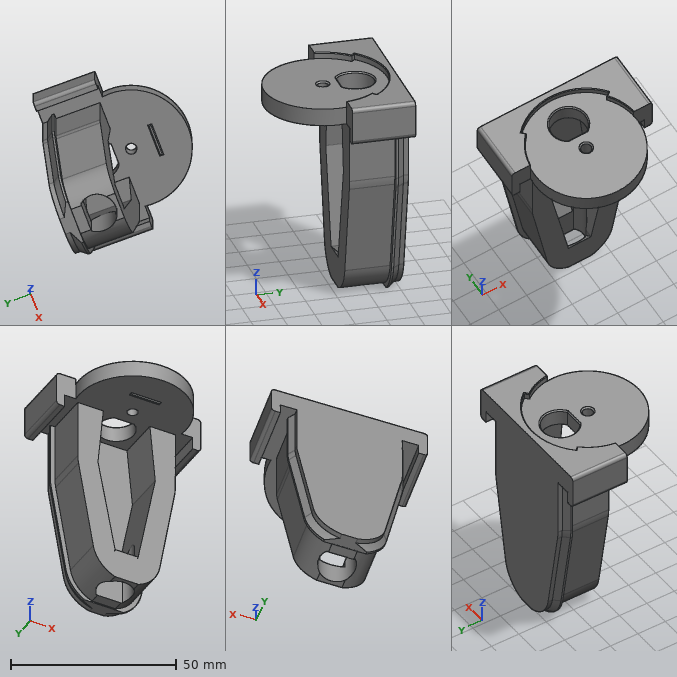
import cadquery as cq
import math


overall_depth = 40.8

block_width = 50.0
block_depth = 19.9
block_top = 69.0
block_underside = 61.5
leg_bottom = 57.3
leg_thickness = 2.8
leg_edge_radius = 1.2

disc_radius = 18.5
disc_center_y = disc_radius - overall_depth
disc_top = 67.0
disc_thickness = disc_top - block_underside
tab_radius = 20.15
tab_start_angle = 38.7
tab_end_angle = 136.0
recess_chamfer = 0.3

pin_hole_diameter = 3.4
key_hole_diameter = 12.0
key_hole_y = -12.15
key_hole_flat_y = -17.1
pin_hole_chamfer = 0.5
key_hole_chamfer = 0.4
hole_bevel_angle = 45
rib_length = 10.35
rib_width = 1.3
rib_height = 0.4
rib_chamfer = 0.35
rib_y = -30.2

shank_half_width = disc_radius
taper_angle = math.radians(9.9)
shoulder_radius = 17.45
tip_radius = 13.3
tip_center_z = 11.45
body_inset = 1.6
body_bottom = 0.45
body_front_y = -18.55
flange_back_thickness = 1.6
flange_bevel_thickness = 2.1
flange_rim_thickness = 0.7
flange_thickness = flange_back_thickness + flange_bevel_thickness + flange_rim_thickness

pocket_floor = 10.7
pocket_floor_half_width = 4.0
pocket_waist_z = 41.6
pocket_waist_half_width = 9.95
pocket_top_half_width = 8.1
back_ramp_top = 15.95
back_ramp_foot_y = -7.7

drain_radius = 5.85
drain_center_y = -11.45


def box(x_min, x_max, y_min, y_max, z_min, z_max):
    size = (x_max - x_min, y_max - y_min, z_max - z_min)
    return cq.Workplane("XY").box(*size, centered=False).translate((x_min, y_min, z_min))


def shank_outline(y, inset, bottom):
    """Closed shank outline in the plane at the given Y, moved inwards by inset and cut flat at bottom."""
    half_width = shank_half_width - inset
    shoulder_r = shoulder_radius - inset
    tip_r = tip_radius - inset
    shoulder_x = half_width - shoulder_r
    rise = (shoulder_x * math.cos(taper_angle) + shoulder_r - tip_r) / math.sin(taper_angle)
    shoulder_z = tip_center_z + rise

    def on_shoulder(angle):
        return (shoulder_x + shoulder_r * math.cos(angle), shoulder_z - shoulder_r * math.sin(angle))

    def on_tip(angle):
        return (tip_r * math.cos(angle), tip_center_z - tip_r * math.sin(angle))

    def mirrored(point):
        return (-point[0], point[1])

    end_angle = math.asin((tip_center_z - bottom) / tip_r)
    shoulder_mid = on_shoulder(taper_angle / 2)
    tip_mid = on_tip((taper_angle + end_angle) / 2)
    return (
        cq.Workplane("XZ", origin=(0, y, 0))
        .moveTo(half_width, block_underside)
        .lineTo(*on_shoulder(0))
        .threePointArc(shoulder_mid, on_shoulder(taper_angle))
        .lineTo(*on_tip(taper_angle))
        .threePointArc(tip_mid, on_tip(end_angle))
        .lineTo(*mirrored(on_tip(end_angle)))
        .threePointArc(mirrored(tip_mid), mirrored(on_tip(taper_angle)))
        .lineTo(*mirrored(on_shoulder(taper_angle)))
        .threePointArc(mirrored(shoulder_mid), mirrored(on_shoulder(0)))
        .lineTo(-half_width, block_underside)
        .close()
    )


def make_shank():
    """Body and back flange; the flange widens from its back face to its rim by a bevel."""
    bevel_back_y = -flange_back_thickness
    bevel_front_y = bevel_back_y - flange_bevel_thickness
    body_back_y = -flange_thickness
    back = shank_outline(0, body_inset, 0).extrude(flange_back_thickness)
    bevel_wires = [
        shank_outline(bevel_back_y, body_inset, 0).val(),
        shank_outline(bevel_front_y, 0, 0).val(),
    ]
    bevel = cq.Workplane(cq.Solid.makeLoft(bevel_wires, True))
    rim = shank_outline(bevel_front_y, 0, 0).extrude(flange_rim_thickness)
    body = shank_outline(body_back_y, body_inset, body_bottom).extrude(body_back_y - body_front_y)
    return back.union(bevel).union(rim).union(body)


def make_pocket():
    """Six-sided pocket whose lower back end is filled by a ramp."""
    right_side = [
        (pocket_floor_half_width, pocket_floor),
        (pocket_waist_half_width, pocket_waist_z),
        (pocket_top_half_width, block_underside),
    ]
    left_side = [(-x, z) for x, z in reversed(right_side)]
    pocket_back_y = -flange_thickness
    pocket = (
        cq.Workplane("XZ", origin=(0, pocket_back_y, 0))
        .polyline(right_side + left_side)
        .close()
        .extrude(pocket_back_y - body_front_y)
    )
    ramp = (
        cq.Workplane("YZ")
        .polyline([
            (pocket_back_y, pocket_floor),
            (pocket_back_y, back_ramp_top),
            (back_ramp_foot_y, pocket_floor),
        ])
        .close()
        .extrude(pocket_waist_half_width, both=True)
    )
    return pocket.cut(ramp)


def make_drain():
    """Round hole with a flat back, widened at the front by a 45 degree chute from the pocket floor."""
    drain = (
        cq.Workplane("XY")
        .center(0, drain_center_y)
        .circle(drain_radius)
        .extrude(pocket_waist_z)
    )
    flat_limit = box(-drain_radius, drain_radius, body_front_y, back_ramp_foot_y, 0, pocket_waist_z)
    chute_depth = drain_center_y - body_front_y
    chute = (
        cq.Workplane("YZ")
        .polyline([
            (body_front_y, pocket_floor),
            (drain_center_y, pocket_floor),
            (drain_center_y, pocket_floor - chute_depth),
        ])
        .close()
        .extrude(pocket_floor_half_width, both=True)
    )
    return drain.intersect(flat_limit).union(chute)


def make_block():
    """Block with two legs, rounded along its four long outer edges."""
    half_width = block_width / 2
    leg_inner_x = half_width - leg_thickness
    block = box(-half_width, half_width, -block_depth, 0, leg_bottom, block_top)
    block = block.edges("|Y").fillet(leg_edge_radius)
    return block.cut(box(-leg_inner_x, leg_inner_x, -block_depth, 0, leg_bottom, block_underside))


def disc_plate(bottom, height):
    """Round plate with a wider tab over part of its rim."""
    def at_angle(angle):
        return (tab_radius * math.cos(math.radians(angle)), tab_radius * math.sin(math.radians(angle)))

    base = cq.Workplane("XY", origin=(0, disc_center_y, bottom))
    tab = (
        base.lineTo(*at_angle(tab_start_angle))
        .threePointArc(at_angle((tab_start_angle + tab_end_angle) / 2), at_angle(tab_end_angle))
        .close()
        .extrude(height)
    )
    return base.circle(disc_radius).extrude(height).union(tab)


def cut_recess(block):
    """Clear the block above the disc and bevel the upper edge of the recess."""
    recessed = block.cut(disc_plate(disc_top, block_top - disc_top))
    return recessed.faces(">Z").edges("not (|X or |Y)").chamfer(recess_chamfer)


def make_disc_holes():
    """Keyed hole and pin hole, each with a bevelled mouth on the top face of the disc."""
    def pin_hole(growth):
        return cq.Workplane("XY").center(0, disc_center_y).circle(pin_hole_diameter / 2 + growth)

    def keyed_hole(growth):
        radius = key_hole_diameter / 2 + growth
        flat = key_hole_y - key_hole_flat_y + growth
        half_chord = math.sqrt(radius ** 2 - flat ** 2)
        return (
            cq.Workplane("XY")
            .center(0, key_hole_y)
            .moveTo(half_chord, -flat)
            .threePointArc((0, radius), (-half_chord, -flat))
            .close()
        )

    def bored(sketch, chamfer):
        bore = sketch(0).extrude(disc_thickness).translate((0, 0, block_underside))
        mouth = sketch(chamfer).extrude(-chamfer, taper=hole_bevel_angle).translate((0, 0, disc_top))
        return bore.union(mouth)

    return bored(pin_hole, pin_hole_chamfer).union(bored(keyed_hole, key_hole_chamfer))


def make_rib():
    """Short detent rib under the disc."""
    rib = box(-rib_length / 2, rib_length / 2, rib_y - rib_width / 2, rib_y + rib_width / 2,
              block_underside - rib_height, block_underside)
    return rib.faces("<Z").edges().chamfer(rib_chamfer)


shank = make_shank().cut(make_pocket()).cut(make_drain())
head = cut_recess(make_block()).union(disc_plate(block_underside, disc_thickness))
result = shank.union(head.cut(make_disc_holes())).union(make_rib())